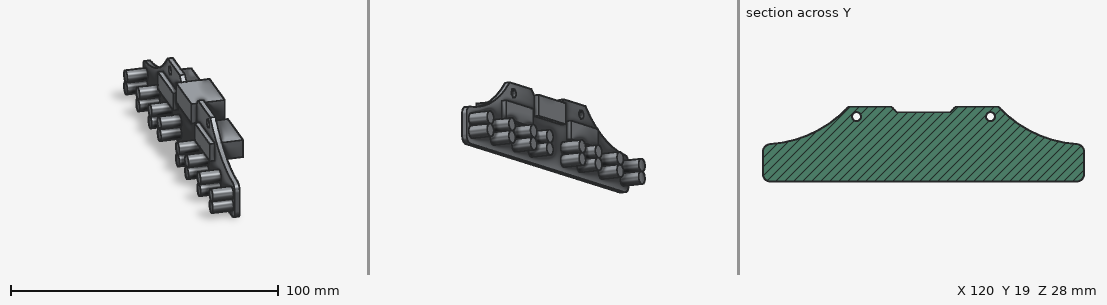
import cadquery as cq
import math

plate_length = 120.0
plate_height = 28.0
plate_thickness = 2.0
end_height = 14.0
corner_radius = 3.0
shoulder_x = 28.0

notch_half_width = 10.0
notch_depth = 2.0

hole_diameter = 3.3
hole_x = 25.0
hole_z = 24.3

block_length = 20.0
block_front = 2.0
block_back = 9.0
centre_block_height = 8.0
centre_block_top = plate_height - notch_depth
side_block_x = 24.0
side_block_height = 7.0
side_block_top = 20.0

pin_diameter = 4.8
pin_length = 8.0
pin_columns = (12.0, 24.0, 40.0, 56.0)
pin_overlap = 0.02
lower_pin_z = 4.6
pin_rows = (lower_pin_z, lower_pin_z + pin_diameter - pin_overlap)


def front_plane():
    """Sketch plane on the front face; local Y is Z and extrusion goes toward -Y."""
    return cq.Workplane("XZ")


def make_plate():
    """Winged plate with curved flanks, a notched top edge and two mounting holes."""
    half_length = plate_length / 2
    run = half_length - shoulder_x
    rise = plate_height - end_height
    flank_radius = (run**2 + rise**2) / (2 * rise)
    half_sweep = math.atan2(rise, run)
    mid_x = half_length - flank_radius * math.sin(half_sweep)
    mid_z = end_height + flank_radius * (1 - math.cos(half_sweep))
    notch_top = notch_half_width + notch_depth
    notch_z = plate_height - notch_depth

    plate = (
        front_plane()
        .moveTo(-half_length, 0)
        .lineTo(half_length, 0)
        .lineTo(half_length, end_height)
        .threePointArc((mid_x, mid_z), (shoulder_x, plate_height))
        .lineTo(notch_top, plate_height)
        .lineTo(notch_half_width, notch_z)
        .lineTo(-notch_half_width, notch_z)
        .lineTo(-notch_top, plate_height)
        .lineTo(-shoulder_x, plate_height)
        .threePointArc((-mid_x, mid_z), (-half_length, end_height))
        .close()
        .extrude(-plate_thickness)
    )
    plate = plate.edges("|Y and (<X or >X)").fillet(corner_radius)
    holes = (
        front_plane()
        .pushPoints([(-hole_x, hole_z), (hole_x, hole_z)])
        .circle(hole_diameter / 2)
        .extrude(-plate_thickness)
    )
    return plate.cut(holes)


def make_block(x, top, height):
    """Block centred at x, standing out of both faces of the plate."""
    depth = block_front + plate_thickness + block_back
    return (
        cq.Workplane("XY")
        .box(block_length, depth, height, centered=(True, False, False))
        .translate((x, -block_front, top - height))
    )


def make_pins():
    """Vertical pin pairs, mirrored about the middle of the plate."""
    points = [(side * x, z) for side in (-1, 1) for x in pin_columns for z in pin_rows]
    return front_plane().pushPoints(points).circle(pin_diameter / 2).extrude(pin_length)


result = make_plate()
result = result.union(make_block(0, centre_block_top, centre_block_height))
for side in (-1, 1):
    result = result.union(make_block(side * side_block_x, side_block_top, side_block_height))
result = result.union(make_pins())